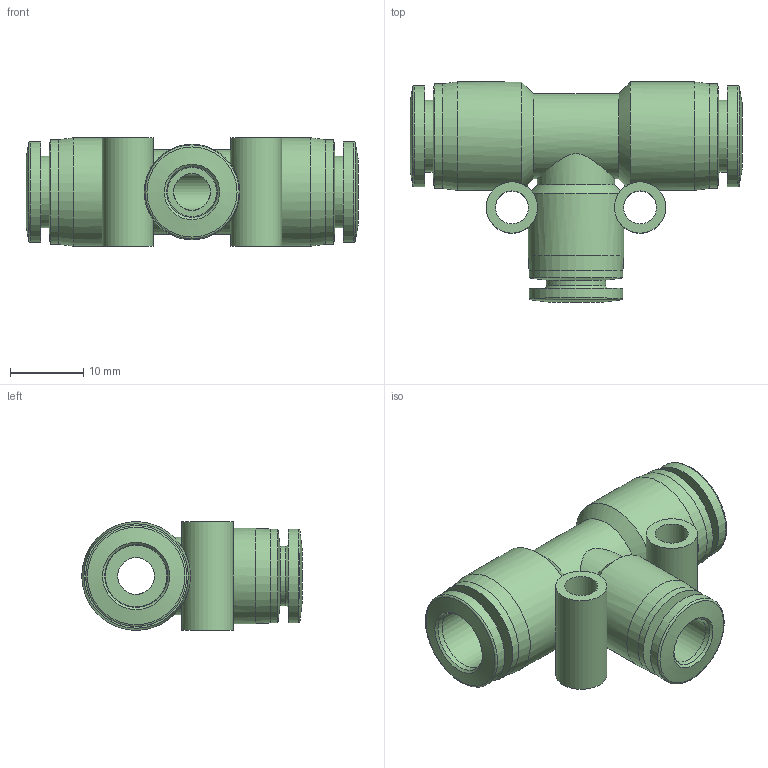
import cadquery as cq
import math


port_reach = 22.65
passage_radius = 2.5
collar_edge_round = 0.25

post_radius = 3.5
post_hole_radius = 2.25
post_offset_x = 8.75
post_offset_y = -9.75
post_height = 14.8

run_port = dict(
    neck_radius=5.8, neck_end=5.8,
    body_radius=7.4, shoulder_end=7.4, body_end=16.2,
    ring_radius=7.12, ring_start=18.2, ring_end=19.35, ring_face_end=19.5,
    throat_radius=4.9,
    collar_radius=6.9, collar_start=20.65, collar_edge=22.3,
    mouth_radius=4.58, lip_radius=4.28, socket_radius=4.2,
)
branch_port = dict(
    neck_radius=5.28, neck_end=6.63,
    body_radius=6.5, shoulder_end=7.85, body_end=16.3,
    ring_radius=6.4, ring_start=18.35, ring_end=19.35, ring_face_end=19.65,
    throat_radius=4.06, throat_flare=(0.37, 0.2),
    collar_radius=6.4, collar_start=20.78, collar_edge=22.35,
    mouth_radius=3.78, lip_radius=3.45, socket_radius=3.35,
)
lip_depth = 0.3
lead_in_depth = 1.0


def revolve_about_x(profile):
    return profile.close().revolve(360, (0, 0, 0), (1, 0, 0))


def port_body(neck_radius, neck_end, body_radius, shoulder_end, body_end,
              ring_radius, ring_start, ring_end, ring_face_end,
              throat_radius,
              collar_radius, collar_start, collar_edge,
              mouth_radius, throat_flare=(0, 0), **bore_sizes):
    """Solid outside of one port along +X, from the tee centre to the collar face."""
    flare_length, flare_rise = throat_flare
    face_radius = collar_radius - collar_edge_round
    diagonal = collar_edge_round * math.sqrt(0.5)
    edge_start = collar_edge - collar_edge_round

    profile = (
        cq.Workplane("XY")
        .lineTo(0, neck_radius)
        .lineTo(neck_end, neck_radius)
        .lineTo(shoulder_end, body_radius)
        .lineTo(body_end, body_radius)
        .lineTo(ring_start, ring_radius)
        .lineTo(ring_end, ring_radius)
        .lineTo(ring_face_end, throat_radius)
        .lineTo(collar_start - flare_length, throat_radius)
    )
    if flare_length > 0:
        profile = profile.lineTo(collar_start, throat_radius + flare_rise)
    profile = (
        profile
        .lineTo(collar_start, collar_radius)
        .lineTo(edge_start, collar_radius)
        .threePointArc((edge_start + diagonal, face_radius + diagonal), (collar_edge, face_radius))
        .lineTo(port_reach, mouth_radius)
        .lineTo(port_reach, 0)
    )
    return revolve_about_x(profile)


def port_bore(shoulder_end, mouth_radius, lip_radius, socket_radius, **outside_sizes):
    """Tube socket down to the port shoulder, then the passage to the tee centre."""
    profile = (
        cq.Workplane("XY")
        .lineTo(0, passage_radius)
        .lineTo(shoulder_end, passage_radius)
        .lineTo(shoulder_end, socket_radius)
        .lineTo(port_reach - lead_in_depth, socket_radius)
        .lineTo(port_reach - lip_depth, lip_radius)
        .lineTo(port_reach, mouth_radius)
        .lineTo(port_reach, 0)
    )
    return revolve_about_x(profile)


def upright_cylinder(x, radius):
    return (
        cq.Workplane("XY", origin=(x, post_offset_y, -post_height / 2))
        .circle(radius)
        .extrude(post_height)
    )


def turned(solid, angle):
    return solid.rotate((0, 0, 0), (0, 0, 1), angle)


port_layout = [(run_port, 0), (run_port, 180), (branch_port, -90)]
post_positions = [-post_offset_x, post_offset_x]

tee = cq.Workplane("XY")
for port, angle in port_layout:
    tee = tee.union(turned(port_body(**port), angle))
for x in post_positions:
    tee = tee.union(upright_cylinder(x, post_radius))

for port, angle in port_layout:
    tee = tee.cut(turned(port_bore(**port), angle))
for x in post_positions:
    tee = tee.cut(upright_cylinder(x, post_hole_radius))

result = tee